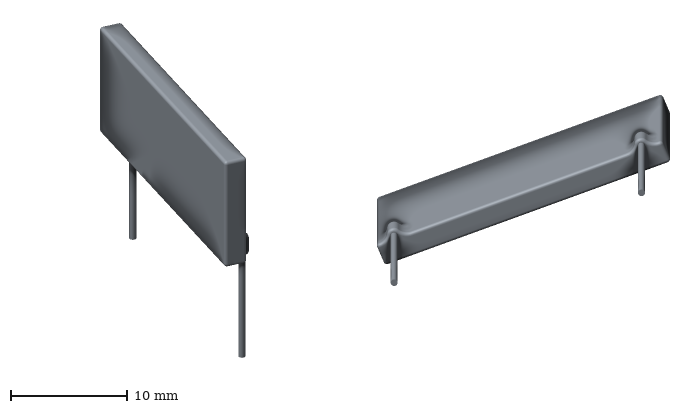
import cadquery as cq
import math

housing_width = 26.5
housing_depth = 2.1
housing_height = 10.4
edge_radius = 0.3

lead_pitch = 22.92
lead_diameter = 0.6
lead_length = 10.12
lead_offset = 0.3

bump_height = 0.9
bump_straight_height = 1.48
bump_root_radius = 1.05
bump_embed = 0.26

crest_radius = bump_height - lead_offset
center_distance = crest_radius + bump_root_radius
bump_half_width = math.sqrt(center_distance**2 - (bump_root_radius - lead_offset) ** 2)
crest_fraction = crest_radius / center_distance
tangent_x = bump_half_width * crest_fraction
tangent_y = lead_offset + (bump_root_radius - lead_offset) * crest_fraction

tangent_angle = math.atan2(tangent_y - bump_root_radius, tangent_x - bump_half_width)
root_middle_angle = (tangent_angle % (2 * math.pi) + 1.5 * math.pi) / 2
root_middle_x = bump_half_width + bump_root_radius * math.cos(root_middle_angle)
root_middle_y = bump_root_radius + bump_root_radius * math.sin(root_middle_angle)

crest_middle_angle = (math.pi / 2 + math.atan2(tangent_y - lead_offset, tangent_x)) / 2
crest_middle_x = crest_radius * math.cos(crest_middle_angle)
crest_middle_y = lead_offset + crest_radius * math.sin(crest_middle_angle)

lead_positions = [-lead_pitch / 2, lead_pitch / 2]


def make_bump(x):
    """Straight ridge over the lead, closed above by a dome of the same profile."""
    ridge = (
        cq.Workplane("XY")
        .moveTo(-bump_half_width, -bump_embed)
        .lineTo(bump_half_width, -bump_embed)
        .lineTo(bump_half_width, 0)
        .threePointArc((root_middle_x, root_middle_y), (tangent_x, tangent_y))
        .threePointArc((0, bump_height), (-tangent_x, tangent_y))
        .threePointArc((-root_middle_x, root_middle_y), (-bump_half_width, 0))
        .close()
        .extrude(bump_straight_height)
    )
    dome = (
        cq.Workplane("XY")
        .moveTo(0, -bump_embed)
        .lineTo(bump_half_width, -bump_embed)
        .lineTo(bump_half_width, 0)
        .threePointArc((root_middle_x, root_middle_y), (tangent_x, tangent_y))
        .threePointArc((crest_middle_x, crest_middle_y), (0, bump_height))
        .close()
        .revolve(360, (0, 0, 0), (0, 1, 0))
        .translate((0, 0, bump_straight_height))
    )
    cutter_size = 4 * bump_half_width
    lower_half = (
        cq.Workplane("XY")
        .box(cutter_size, cutter_size, cutter_size)
        .translate((0, 0, bump_straight_height - cutter_size / 2))
    )
    return ridge.union(dome.cut(lower_half)).translate((x, 0, 0))


def make_housing():
    """Flat block with two lead bumps on its back and rounded outer edges."""
    block = (
        cq.Workplane("XY")
        .box(housing_width, housing_depth, housing_height, centered=(True, False, False))
        .translate((0, -housing_depth, 0))
    )
    for x in lead_positions:
        block = block.union(make_bump(x))
    outer_edges = block.faces("<X or >X or <Y or <Z or >Z").edges()
    return outer_edges.fillet(edge_radius)


def make_lead(x):
    """Round wire hanging from the flat underside of a bump."""
    return (
        cq.Workplane("XY")
        .center(x, lead_offset)
        .circle(lead_diameter / 2)
        .extrude(-lead_length)
    )


housing = make_housing()
leads = [make_lead(x) for x in lead_positions]

result = cq.Compound.makeCompound([housing.val(), *[lead.val() for lead in leads]])